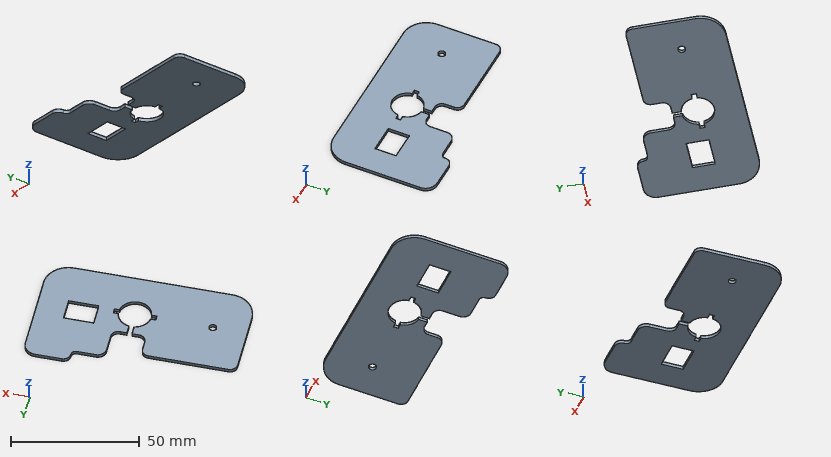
import cadquery as cq

length = 83.0
width = 47.0
thickness = 1.5

left_height = 38.1
step_height = 42.0
step_x = 64.4
notch_width = 13.5
notch_floor = 28.3

bottom_radius = 10.0
top_right_radius = 5.0
shoulder_radius = 3.5
step_outer_radius = 3.0
step_inner_radius = 1.9
corner_radius = 3.0

opening_x = 44.65
feature_y = 18.3
opening_diameter = 12.95
key_span = 16.85
key_width = 2.0
slot_width = 2.0

hole_x = 13.7
hole_diameter = 3.0
window_length = 12.0
window_width = 9.05
window_x = 65.4
window_y = 21.6

notch_left = opening_x - notch_width / 2
notch_right = opening_x + notch_width / 2


def make_plate():
    """Stepped outline with each corner rounded to its own radius."""
    corners = [
        (0, 0, bottom_radius),
        (length, 0, bottom_radius),
        (length, width, top_right_radius),
        (step_x, width, step_outer_radius),
        (step_x, step_height, step_inner_radius),
        (notch_right, step_height, shoulder_radius),
        (notch_right, notch_floor, corner_radius),
        (notch_left, notch_floor, corner_radius),
        (notch_left, left_height, corner_radius),
        (0, left_height, corner_radius),
    ]
    outline = [(x, y) for x, y, radius in corners]
    plate = cq.Workplane("XY").polyline(outline).close().extrude(thickness)
    for x, y, radius in corners:
        corner_edge = cq.selectors.NearestToPointSelector((x, y, thickness / 2))
        plate = plate.edges("|Z").edges(corner_edge).fillet(radius)
    return plate


def round_cutter(x, y, diameter):
    return cq.Workplane("XY").center(x, y).circle(diameter / 2).extrude(thickness)


def rectangle_cutter(x, y, size_x, size_y):
    return cq.Workplane("XY").center(x, y).rect(size_x, size_y).extrude(thickness)


def make_keyed_opening():
    """Round opening with a key on each side and a slot up to the notch floor."""
    slot_length = notch_floor - feature_y
    slot_y = feature_y + slot_length / 2
    opening = round_cutter(opening_x, feature_y, opening_diameter)
    keys = rectangle_cutter(opening_x, feature_y, key_span, key_width)
    slot = rectangle_cutter(opening_x, slot_y, slot_width, slot_length)
    return opening.union(keys).union(slot)


result = (
    make_plate()
    .cut(make_keyed_opening())
    .cut(round_cutter(hole_x, feature_y, hole_diameter))
    .cut(rectangle_cutter(window_x, window_y, window_length, window_width))
)